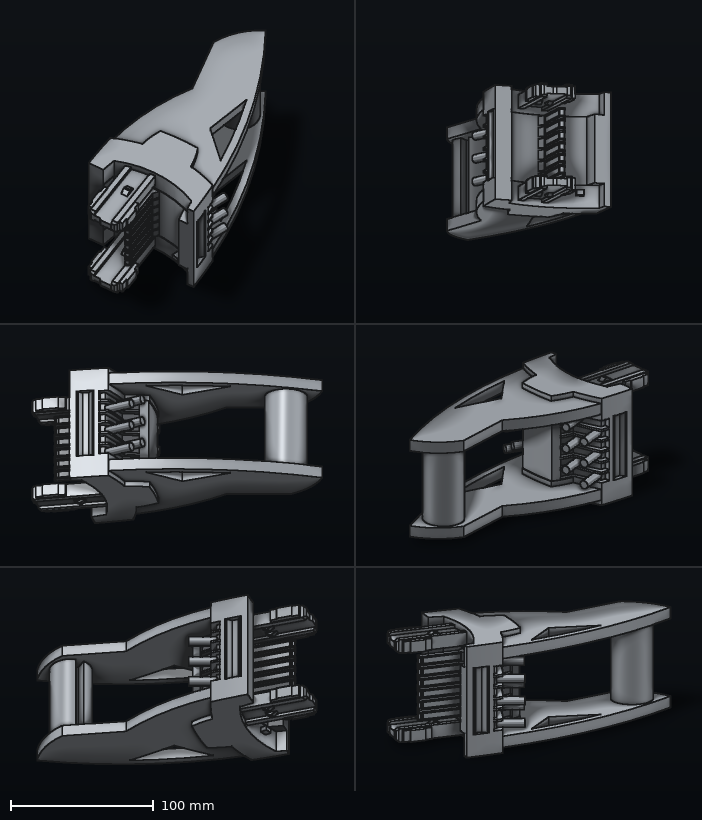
import math

import cadquery as cq

block_height = 81.5
cap_height = 16.3
cap_inner_z = block_height / 2 - cap_height
plate_z = 32.7

side_radius = 362.0
side_x = 43.05
side_centre_x = side_x - side_radius
front_radius = 81.0
cap_front_y = 16.3
core_front_y = 16.0

shoulder_side_y = 27.7
shoulder_inner = (19.9, 34.6)
shoulder_bulge = 0.6
tower_corner = (15.3, 51.4)
tower_top_y = 52.1
core_top_y = 51.5
foot_x = 30.9
foot_root_x = 28.8
wide_foot_x = 38.0
wide_foot_root_x = 36.8

arm_thickness = 8.4
arm_root_y = 20.0
arm_side_inset = 0.4
arm_tip = (-2.2, 171.4)
arm_tip_bulge = (-17.9, 159.4)
arm_shoulder = (-27.8, 143.4)
arm_waist = (-18.4, 99.3)
arm_flank = (-36.2, 57.0)
window_wall = 6.0
window_top_y = 110.1
window_bottom_y = 52.8
window_corner = (11.5, 74.2)

post_centre = (-7.5, 144.3)
post_radius = 15.0
post_slot_width = 6.1
post_slot_floor = 5.4
post_groove_width = 3.4
post_groove_depth = 0.5
post_slot_angle = -135.0

row_count = 6
row_pitch = 8.15
row_height = 6.6

pocket_floor_x = 38.0
pocket_bottom_y = 20.9
pocket_inner = (17.2, 32.2)
pocket_top = (13.5, 44.4)

peg_diameter = 6.0
peg_length = 20.0
peg_overlap = 1.5
peg_tilt = 20.0
peg_span_x = 89.89
outer_peg_base_y = 25.4
inner_peg_base = (21.5, 30.3)

cut_clearance = 1.0

channel_lip = (5.0, 17.0)
channel_lip_depth = 0.5
channel_mouth = (6.0, 16.0)
channel_floor = (8.5, 13.0)
channel_depth = 4.0

pin_tip_y = -20.1
pin_half_width = 2.3
pin_root_half_width = 5.5
pin_flare_length = 4.0
pin_root_overlap = 1.0
pin_band_height = 4.3
pin_band_depth = 0.4
pin_notch_y = -17.4
pin_notch_length = 1.5
pin_notch_depth = 0.8

bar_left_x = -21.2
bar_right_x = 1.7
rail_width = 4.3
rail_height = 9.8
web_height = 5.2
bar_root_y = 20.0
left_rail_end_y = -35.2
right_rail_end_y = -36.2
bar_end_y = -36.63
rail_chamfer_height = 1.6
rail_chamfer_length = 2.0
rail_corner_width = 1.8
rail_corner_length = 1.3
nose_step_x = -11.6
nose_step_width = 2.0
lug_height = 8.5
lug_width = 2.9
lug_length = 21.3
left_lug_y = -9.9
right_lug_y = -11.1
lug_pad_width = 0.9
right_lug_pad_width = 1.3
lug_pad_inset = 5.0
lug_pad_length = 11.3
catch_left_x = -11.3
catch_width = 5.0
lower_rib_left_x = (-14.5, -6.5)
lower_rib_width = 3.7
catch_height = 2.2
catch_back_y = 0.0
catch_crest_back_y = -3.4
catch_crest_front_y = -4.7
catch_front_y = -8.4

tab_width = 5.3
tab_height = 3.6
tab_length = 12.0
tab_tip = (23.0, 8.1)
tab_z = -30.2
tab_tilt = 15.0


def side_curve_x(y, offset=0.0):
    """X of the large +X side arc at height y, moved inwards by offset."""
    radius = side_radius - offset
    return side_centre_x + math.sqrt(radius**2 - y**2)


def front_curve_y(x, apex_y):
    """Y of the concave front arc whose highest point lies at X = 0."""
    return apex_y - front_radius + math.sqrt(front_radius**2 - x**2)


def mirrored(point):
    return (-point[0], point[1])


def slab(outline, height, centre_z=0.0):
    """Extrude a closed XY outline by height, centred on centre_z."""
    return outline.extrude(height).translate((0, 0, centre_z - height / 2))


def box_between(x_range, y_range, height, centre_z=0.0):
    size_x = x_range[1] - x_range[0]
    size_y = y_range[1] - y_range[0]
    box = cq.Workplane("XY").box(size_x, size_y, height)
    return box.translate((sum(x_range) / 2, sum(y_range) / 2, centre_z))


def both_sides(body):
    return body.union(body.mirror("YZ"))


def block_outline(apex_y, top_y, right_foot_x, right_root_x):
    shoulder_side = (side_curve_x(shoulder_side_y), shoulder_side_y)
    shoulder_middle = (
        (shoulder_side[0] + shoulder_inner[0]) / 2,
        (shoulder_side[1] + shoulder_inner[1]) / 2 + shoulder_bulge,
    )
    side_middle = (side_curve_x(shoulder_side_y / 2), shoulder_side_y / 2)
    corner = (tower_corner[0], tower_corner[1] + top_y - tower_top_y)
    tower_middle = (
        (shoulder_inner[0] + corner[0]) / 2 + shoulder_bulge,
        (shoulder_inner[1] + corner[1]) / 2,
    )
    return (
        cq.Workplane("XY")
        .moveTo(right_foot_x, 0)
        .lineTo(side_x, 0)
        .threePointArc(side_middle, shoulder_side)
        .threePointArc(shoulder_middle, shoulder_inner)
        .threePointArc(tower_middle, corner)
        .threePointArc((0, top_y), mirrored(corner))
        .threePointArc(mirrored(tower_middle), mirrored(shoulder_inner))
        .threePointArc(mirrored(shoulder_middle), mirrored(shoulder_side))
        .threePointArc(mirrored(side_middle), (-side_x, 0))
        .lineTo(-foot_x, 0)
        .lineTo(-foot_root_x, front_curve_y(foot_root_x, apex_y))
        .threePointArc((0, apex_y), (right_root_x, front_curve_y(right_root_x, apex_y)))
        .close()
    )


def make_cap():
    outline = block_outline(cap_front_y, tower_top_y, wide_foot_x, wide_foot_root_x)
    return slab(outline, cap_height)


def make_peg_pocket():
    """Recess in the -X shoulder of the core that one row of pegs stands in."""
    slope = math.tan(math.radians(peg_tilt))
    step_top_y = pocket_inner[1] - (pocket_floor_x - pocket_inner[0]) * slope
    outline = cq.Workplane("XY").polyline([
        (-side_x - cut_clearance, pocket_bottom_y),
        (-pocket_floor_x, pocket_bottom_y),
        (-pocket_floor_x, step_top_y),
        mirrored(pocket_inner),
        mirrored(pocket_top),
        (-side_x - cut_clearance, pocket_top[1]),
    ]).close()
    return slab(outline, row_height)


def make_side_channel():
    """Trapezoid channel with a shallow lip on the -X side of the core."""
    lip_floor_x = side_curve_x(channel_lip[1]) - channel_lip_depth
    floor_x = side_x - channel_depth
    outline = cq.Workplane("XY").polyline([
        (-side_x - cut_clearance, channel_lip[0]),
        (-lip_floor_x, channel_lip[0]),
        (-lip_floor_x, channel_mouth[0]),
        (-floor_x, channel_floor[0]),
        (-floor_x, channel_floor[1]),
        (-lip_floor_x, channel_mouth[1]),
        (-lip_floor_x, channel_lip[1]),
        (-side_x - cut_clearance, channel_lip[1]),
    ]).close()
    return slab(outline, 2 * cap_inner_z)


def make_peg(base):
    """Round peg that leans out towards -X, starting just inside the pocket floor."""
    tilt = math.radians(peg_tilt)
    axis = cq.Vector(-math.sin(tilt), math.cos(tilt), 0)
    start = cq.Vector(base[0], base[1], 0) - axis * peg_overlap
    solid = cq.Solid.makeCylinder(peg_diameter / 2, peg_length + peg_overlap, start, axis)
    return cq.Workplane("XY").add(solid)


def outer_peg_base():
    """Base point that puts the peg's far corner on the overall width."""
    tilt = math.radians(peg_tilt)
    reach = peg_length * math.sin(tilt) + peg_diameter / 2 * math.cos(tilt)
    return (reach - peg_span_x / 2, outer_peg_base_y)


def make_contact_pin():
    """Flat pin with a flared root, a rounded tip and a shallow band around it."""
    root_y = front_curve_y(pin_root_half_width, core_front_y)
    neck_y = root_y - pin_flare_length
    round_y = pin_tip_y + pin_half_width

    def outline(inset):
        half = pin_half_width - inset
        return (
            cq.Workplane("XY")
            .moveTo(-half, neck_y)
            .lineTo(-half, round_y)
            .threePointArc((0, pin_tip_y + inset), (half, round_y))
            .lineTo(half, neck_y)
            .close()
        )

    root = cq.Workplane("XY").polyline([
        (-pin_half_width, neck_y),
        (pin_half_width, neck_y),
        (pin_root_half_width, root_y),
        (pin_root_half_width, root_y + pin_root_overlap),
        (-pin_root_half_width, root_y + pin_root_overlap),
        (-pin_root_half_width, root_y),
    ]).close()
    band = slab(outline(0), pin_band_height).cut(slab(outline(pin_band_depth), pin_band_height))
    pin = slab(outline(0), row_height).cut(band).union(slab(root, row_height))
    notch_x = (pin_half_width - pin_notch_depth, pin_half_width)
    notch_y = (pin_notch_y - pin_notch_length / 2, pin_notch_y + pin_notch_length / 2)
    return pin.cut(both_sides(box_between(notch_x, notch_y, pin_band_height)))


def make_core():
    """Middle of the block between the caps, with channels, pegs and contact pins."""
    outline = block_outline(core_front_y, core_top_y, foot_x, foot_root_x)
    core = slab(outline, 2 * cap_inner_z).cut(both_sides(make_side_channel()))
    pockets = both_sides(make_peg_pocket())
    outer_pegs = both_sides(make_peg(outer_peg_base()))
    inner_pegs = both_sides(make_peg(mirrored(inner_peg_base)))
    pin = make_contact_pin()
    for row in range(row_count):
        row_z = ((row_count - 1) / 2 - row) * row_pitch
        pegs = inner_pegs if row % 2 == 0 else outer_pegs
        core = core.cut(pockets.translate((0, 0, row_z)))
        core = core.union(pegs.translate((0, 0, row_z)))
        core = core.union(pin.translate((0, 0, row_z)))
    return core


def make_arm():
    root_x = side_curve_x(arm_root_y, arm_side_inset)
    side_middle_y = (arm_root_y + arm_tip[1]) / 2
    side_middle = (side_curve_x(side_middle_y, arm_side_inset), side_middle_y)
    left_side = (-side_curve_x(shoulder_side_y, arm_side_inset), shoulder_side_y)
    outline = (
        cq.Workplane("XY")
        .moveTo(-root_x, arm_root_y)
        .lineTo(root_x, arm_root_y)
        .threePointArc(side_middle, arm_tip)
        .threePointArc(arm_tip_bulge, arm_shoulder)
        .lineTo(*arm_waist)
        .threePointArc(arm_flank, left_side)
        .close()
    )
    window_middle_y = (window_top_y + window_bottom_y) / 2
    window = (
        cq.Workplane("XY")
        .moveTo(*window_corner)
        .lineTo(side_curve_x(window_bottom_y, window_wall), window_bottom_y)
        .threePointArc(
            (side_curve_x(window_middle_y, window_wall), window_middle_y),
            (side_curve_x(window_top_y, window_wall), window_top_y),
        )
        .close()
    )
    return slab(outline, arm_thickness).cut(slab(window, arm_thickness))


def make_post():
    height = 2 * plate_z
    post = slab(cq.Workplane("XY").circle(post_radius), height)
    half_slot = post_slot_width / 2
    half_groove = post_groove_width / 2
    slot = box_between((post_slot_floor, post_radius), (-half_slot, half_slot), height)
    groove_x = (post_slot_floor - post_groove_depth, post_slot_floor)
    groove = box_between(groove_x, (-half_groove, half_groove), height)
    post = post.cut(slot).cut(groove)
    post = post.rotate((0, 0, 0), (0, 0, 1), post_slot_angle)
    return post.translate((post_centre[0], post_centre[1], 0))


def make_rail(inner_x, direction, end_y):
    """Side rail of a connector bar; its free end is bevelled above, below and on the outer corner."""
    half = rail_height / 2
    chamfer_y = end_y + rail_chamfer_length
    chamfer_z = half - rail_chamfer_height
    outer_x = inner_x + direction * rail_width
    profile = cq.Workplane("YZ").polyline([
        (bar_root_y, -half),
        (bar_root_y, half),
        (chamfer_y, half),
        (end_y, chamfer_z),
        (end_y, -chamfer_z),
        (chamfer_y, -half),
    ]).close()
    rail = profile.extrude(rail_width).translate((min(inner_x, outer_x), 0, 0))
    corner = cq.Workplane("XY").polyline([
        (outer_x, end_y),
        (outer_x, end_y + rail_corner_length),
        (outer_x - direction * rail_corner_width, end_y),
    ]).close()
    return rail.cut(slab(corner, rail_height))


def make_lug(inner_x, top_y, direction, pad_width):
    """Side lug with a raised pad, growing from inner_x in the given X direction."""
    lug_x = inner_x + direction * lug_width
    pad_x = lug_x + direction * pad_width
    pad_top_y = top_y - lug_pad_inset
    pad_bottom_y = pad_top_y - lug_pad_length
    lug = box_between(sorted((inner_x, lug_x)), (top_y - lug_length, top_y), lug_height)
    pad = box_between(sorted((lug_x, pad_x)), (pad_bottom_y, pad_top_y), lug_height)
    return lug.union(pad)


def make_catch(left_x, width):
    """Small ramped catch standing on top of the web."""
    profile = cq.Workplane("YZ").polyline([
        (catch_back_y, 0),
        (catch_crest_back_y, catch_height),
        (catch_crest_front_y, catch_height),
        (catch_front_y, 0),
    ]).close()
    return profile.extrude(width).translate((left_x, 0, web_height / 2))


def make_connector_bar():
    web_left_x = bar_left_x + rail_width
    web_right_x = bar_right_x - rail_width
    web_outline = cq.Workplane("XY").polyline([
        (web_left_x, bar_root_y),
        (web_left_x, left_rail_end_y),
        (nose_step_x - nose_step_width / 2, left_rail_end_y),
        (nose_step_x + nose_step_width / 2, bar_end_y),
        (web_right_x, bar_end_y),
        (web_right_x, bar_root_y),
    ]).close()
    bar = (
        slab(web_outline, web_height)
        .union(make_rail(web_left_x, -1, left_rail_end_y))
        .union(make_rail(web_right_x, 1, right_rail_end_y))
        .union(make_lug(bar_left_x, left_lug_y, -1, lug_pad_width))
        .union(make_lug(bar_right_x, right_lug_y, 1, right_lug_pad_width))
        .union(make_catch(catch_left_x, catch_width))
    )
    for left_x in lower_rib_left_x:
        bar = bar.union(make_catch(left_x, lower_rib_width).mirror("XY"))
    return bar


def make_tab():
    tab = box_between((-tab_width / 2, tab_width / 2), (0, tab_length), tab_height)
    tab = tab.rotate((0, 0, 0), (0, 0, 1), -tab_tilt)
    return tab.translate((tab_tip[0], tab_tip[1], tab_z))


def build_part():
    part = make_core().union(make_post()).union(make_tab())
    cap_z = cap_inner_z + cap_height / 2
    for side in (-1, 1):
        part = part.union(make_cap().translate((0, 0, side * cap_z)))
        part = part.union(make_arm().translate((0, 0, side * plate_z)))
        part = part.union(make_connector_bar().translate((0, 0, side * plate_z)))
    return part


result = build_part()